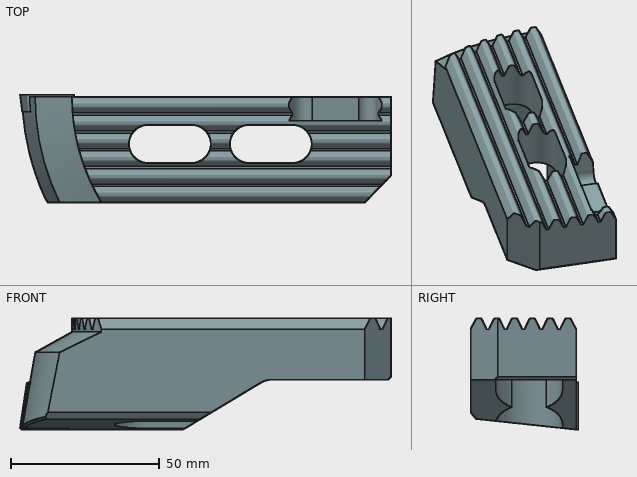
import cadquery as cq

LENGTH = 125.0
JAW_WIDTH = 35.6
HEIGHT = 37.6
INSERT_PROUD = 0.8

HEEL_X = 54.8
STEP_X = 82.8
SHALLOW_DEPTH = 20.8
STEP_RADIUS = 7.5
TAIL_CHAMFER = 1.0
BOTTOM_RISE = 3.9
SIDE_CHAMFER = 1.9
SIDE_CHAMFER_TOP = 31.6
CORNER_CUT_X = 8.9
CORNER_CUT_Y = 9.1

NOSE_AXIS_X = 86.2
RIM_RADIUS = 68.8
BROW_RADIUS = 81.1
TOE_RADIUS = 85.8
TOE_BEVEL = 0.8
RIM_DEPTH = 4.6
BROW_DEPTH = 11.5

TOOTH_COUNT = 6
TOOTH_PITCH = 6.0
TOOTH_DEPTH = 3.6
CREST_WIDTH = 1.8
VALLEY_WIDTH = 0.8
CREST_RADIUS = 0.8

SLOT_LENGTH = 27.5
SLOT_WIDTH = 12.8
SLOT_Y = -15.9
SLOT_CENTERS_X = (50.5, 84.5)
COUNTERBORE_WIDTH = 22.5
COUNTERBORE_CEILING = 16.2

POCKET_X = 106.2
POCKET_REACH = 8.0
POCKET_TOP_WIDTH = 31.2
POCKET_FLOOR_WIDTH = 27.5
POCKET_WALL_DEPTH = 6.1
POCKET_DEPTH = 7.5
GROOVE_RADIUS = 3.1

INSERT_LENGTH = 16.0
INSERT_TOP = 21.6
INSERT_LEAN = 2.4
INSERT_BEDDING = 5.0
INSERT_RADIUS = 0.8
INSERT_SKEW = 0.6


def jaw_section():
    """Outline of the jaw in the YZ plane: serrations on top, flat below."""
    center_y = -JAW_WIDTH / 2
    first_crest = center_y + TOOTH_PITCH * (TOOTH_COUNT - 1) / 2
    half_crest = CREST_WIDTH / 2
    points = [(0, -TOOTH_DEPTH)]
    for i in range(TOOTH_COUNT):
        crest = first_crest - i * TOOTH_PITCH
        if i > 0:
            valley = crest + TOOTH_PITCH / 2
            points += [(valley + VALLEY_WIDTH / 2, -TOOTH_DEPTH), (valley - VALLEY_WIDTH / 2, -TOOTH_DEPTH)]
        points += [(crest + half_crest, 0), (crest - half_crest, 0)]
    points += [(-JAW_WIDTH, -TOOTH_DEPTH), (-JAW_WIDTH, -HEIGHT), (0, -HEIGHT)]
    return points


def serrated_bar():
    bar = cq.Workplane("YZ").polyline(jaw_section()).close().extrude(LENGTH)
    return bar.faces(">Z").edges("|X").fillet(CREST_RADIUS)


def side_envelope():
    """Side outline with the stepped underside, across the full width."""
    outline = (
        cq.Workplane("XZ", origin=(0, INSERT_PROUD, 0))
        .polyline([
            (0, 0), (LENGTH, 0), (LENGTH, TAIL_CHAMFER - SHALLOW_DEPTH),
            (LENGTH - TAIL_CHAMFER, -SHALLOW_DEPTH), (STEP_X, -SHALLOW_DEPTH),
            (HEEL_X, -HEIGHT), (0, -HEIGHT),
        ])
        .close()
        .extrude(JAW_WIDTH + INSERT_PROUD)
    )
    step_edge = cq.selectors.NearestToPointSelector((STEP_X, -JAW_WIDTH / 2, -SHALLOW_DEPTH))
    return outline.edges("|Y").edges(step_edge).fillet(STEP_RADIUS)


def nose_envelope():
    """Stack of coaxial cones that shapes the nose."""
    return (
        cq.Workplane("XZ", origin=(NOSE_AXIS_X, 0, 0))
        .polyline([
            (0, 0), (RIM_RADIUS, 0), (RIM_RADIUS, -RIM_DEPTH), (BROW_RADIUS, -BROW_DEPTH),
            (TOE_RADIUS, -HEIGHT), (0, -HEIGHT),
        ])
        .close()
        .revolve(360, (0, 0, 0), (0, 1, 0))
    )


def below_tilted_bottom():
    """Space under the bottom, which rises towards -Y and ends in a side chamfer."""
    slope = BOTTOM_RISE / (JAW_WIDTH + INSERT_PROUD)
    inner_y = -JAW_WIDTH + SIDE_CHAMFER
    inner_z = -HEIGHT + slope * (INSERT_PROUD - inner_y)
    return (
        cq.Workplane("YZ")
        .polyline([
            (INSERT_PROUD, -HEIGHT), (inner_y, inner_z), (-JAW_WIDTH, -SIDE_CHAMFER_TOP),
            (-JAW_WIDTH, -HEIGHT),
        ])
        .close()
        .extrude(LENGTH)
    )


def bevel_toe(body, middle_y):
    """Bevel the edge between the front face and the tilted bottom, given the Y of its middle."""
    toe_edge = cq.selectors.NearestToPointSelector((0, middle_y, -HEIGHT))
    return body.edges(toe_edge).chamfer(TOE_BEVEL)


def corner_cut():
    """Vertical bevel at the tail, on the -Y corner."""
    return (
        cq.Workplane("XY")
        .polyline([
            (LENGTH - CORNER_CUT_X, -JAW_WIDTH), (LENGTH, -JAW_WIDTH + CORNER_CUT_Y), (LENGTH, -JAW_WIDTH),
        ])
        .close()
        .extrude(-HEIGHT)
    )


def screw_slots():
    centers = [(x, SLOT_Y) for x in SLOT_CENTERS_X]
    through = cq.Workplane("XY").pushPoints(centers).slot2D(SLOT_LENGTH, SLOT_WIDTH).extrude(-HEIGHT)
    counterbore_length = SLOT_LENGTH - SLOT_WIDTH + COUNTERBORE_WIDTH
    counterbores = (
        cq.Workplane("XY", origin=(0, 0, -HEIGHT))
        .pushPoints(centers)
        .slot2D(counterbore_length, COUNTERBORE_WIDTH)
        .extrude(HEIGHT - COUNTERBORE_CEILING)
    )
    return through.union(counterbores)


def key_pocket():
    """Pocket open to the back face, with sloped end walls that run into round relief grooves."""
    half_top = POCKET_TOP_WIDTH / 2
    half_floor = POCKET_FLOOR_WIDTH / 2
    groove_offset = half_floor - GROOVE_RADIUS
    plane = cq.Workplane("XZ", origin=(POCKET_X, 0, 0))
    pocket = (
        plane.polyline([
            (-half_top, 0), (half_top, 0), (half_floor, -POCKET_WALL_DEPTH),
            (groove_offset, -POCKET_WALL_DEPTH), (groove_offset, -POCKET_DEPTH),
            (-groove_offset, -POCKET_DEPTH), (-groove_offset, -POCKET_WALL_DEPTH),
            (-half_floor, -POCKET_WALL_DEPTH),
        ])
        .close()
        .extrude(POCKET_REACH)
    )
    grooves = (
        plane.pushPoints([(-groove_offset, -POCKET_WALL_DEPTH), (groove_offset, -POCKET_WALL_DEPTH)])
        .circle(GROOVE_RADIUS)
        .extrude(POCKET_REACH)
    )
    return pocket.union(grooves)


def make_insert():
    toe_x = -TOE_BEVEL * INSERT_LEAN / (HEIGHT - INSERT_TOP)
    footprint = [
        (toe_x, INSERT_PROUD), (INSERT_LENGTH, INSERT_PROUD),
        (INSERT_LENGTH, -INSERT_BEDDING), (toe_x + INSERT_SKEW, -INSERT_BEDDING),
    ]
    top_outline = [(x + INSERT_LEAN, y) for x, y in footprint]
    block = (
        cq.Workplane("XY", origin=(0, 0, -HEIGHT))
        .polyline(footprint)
        .close()
        .workplane(offset=HEIGHT - INSERT_TOP)
        .polyline(top_outline)
        .close()
        .loft(ruled=True)
    )
    block = block.faces(">Z").edges("<X or >X").fillet(INSERT_RADIUS)
    return bevel_toe(block.cut(below_tilted_bottom()), -INSERT_BEDDING / 2)


def make_jaw(insert):
    jaw = serrated_bar().intersect(side_envelope()).intersect(nose_envelope())
    jaw = bevel_toe(jaw.cut(below_tilted_bottom()), -JAW_WIDTH / 2)
    for cutter in (corner_cut(), screw_slots(), key_pocket(), insert):
        jaw = jaw.cut(cutter)
    return jaw


insert = make_insert()
jaw = make_jaw(insert)
result = cq.Compound.makeCompound([jaw.val(), insert.val()])